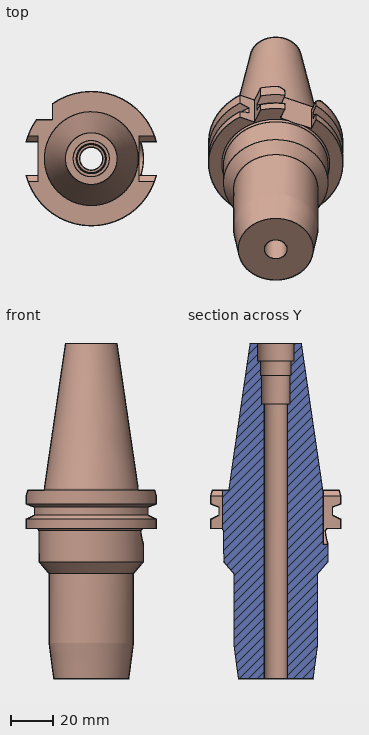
import cadquery as cq

total_height = 158.4
nose_height = 16.8
shank_top = 49.7
body_bottom = 55.3
body_top = 70.0
flange_bottom = 71.0
flange_top = 89.2
taper_bottom = 90.1

nose_radius = 17.7
shank_radius = 20.0
body_radius = 24.7
neck_radius = 25.5
flange_diameter = 63.5
flange_radius = flange_diameter / 2
groove_radius = 28.0
gauge_radius = 22.2
taper_top_radius = 12.2

groove_floor_bottom = 77.3
groove_floor_top = 81.1
groove_mouth_bottom = 75.4
groove_mouth_top = 82.5

through_radius = 5.4
bore_steps = [(8.5, 8.2), (7.1, 15.0), (6.7, 28.5)]

slot_width = 15.8
slot_mouth_width = 21.4
slot_chamfer = (slot_mouth_width - slot_width) / 2
left_floor = 25.2
right_floor = 22.5
right_slot_end_center = 71.6

notch_offset = 18.4


def turned_blank():
    profile = [
        (0, 0),
        (nose_radius, 0),
        (shank_radius, nose_height),
        (shank_radius, shank_top),
        (body_radius, body_bottom),
        (body_radius, body_top),
        (neck_radius, flange_bottom),
        (flange_radius, flange_bottom),
        (flange_radius, groove_mouth_bottom),
        (groove_radius, groove_floor_bottom),
        (groove_radius, groove_floor_top),
        (flange_radius, groove_mouth_top),
        (flange_radius, flange_top),
        (gauge_radius, flange_top),
        (gauge_radius, taper_bottom),
        (taper_top_radius, total_height),
        (0, total_height),
    ]
    return cq.Workplane("XZ").polyline(profile).close().revolve(360, (0, 0), (0, 1))


def stepped_bore():
    bore = cq.Workplane("XY").circle(through_radius).extrude(total_height)
    for radius, depth in bore_steps:
        step = cq.Workplane("XY", origin=(0, 0, total_height - depth)).circle(radius).extrude(depth)
        bore = bore.union(step)
    return bore


def drive_slot(floor, bottom):
    """Slot on the +X side, open outward, with its upper edges flared at 45 degrees."""
    half = slot_width / 2
    flare = half + slot_chamfer
    flare_bottom = flange_top - slot_chamfer
    outline = [
        (-half, bottom),
        (half, bottom),
        (half, flare_bottom),
        (flare, flange_top),
        (-flare, flange_top),
        (-half, flare_bottom),
    ]
    plane = cq.Workplane("YZ", origin=(floor, 0, 0))
    return plane.polyline(outline).close().extrude(flange_radius - floor)


def right_slot():
    """Deeper slot whose rounded lower end runs out into the body."""
    rounded_end = (
        cq.Workplane("YZ", origin=(right_floor, 0, right_slot_end_center))
        .circle(slot_width / 2)
        .extrude(flange_radius - right_floor)
    )
    return drive_slot(right_floor, right_slot_end_center).union(rounded_end)


def left_slot():
    """Slot on the -X side, cut down through the neck flare."""
    return drive_slot(left_floor, body_top).rotate((0, 0, 0), (0, 0, 1), 180)


def orientation_notch():
    size = flange_radius - notch_offset
    return (
        cq.Workplane("XY", origin=(-notch_offset, notch_offset, flange_bottom))
        .rect(-size, size, centered=False)
        .extrude(flange_top - flange_bottom)
    )


result = turned_blank()
for removed in (stepped_bore(), right_slot(), left_slot(), orientation_notch()):
    result = result.cut(removed)